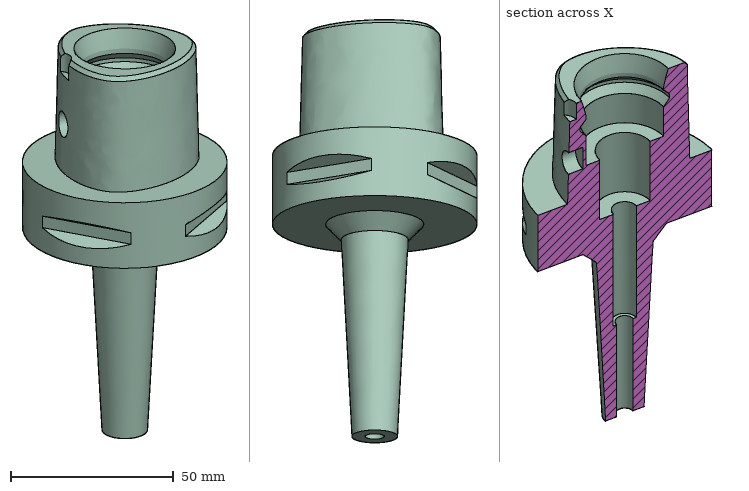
import cadquery as cq
import math

total_height = 128.0
shank_height = 38.0
flange_height = 22.0
neck_height = 5.0
flange_radius = 31.5
stem_height = total_height - shank_height - flange_height - neck_height

shank_mean_radius = 22.1
lobe_count = 3
lobe_height = 1.4
section_points = 72
shank_taper = 1 / 40
rim_chamfer_height = 1.3
rim_chamfer_width = 1.2

stem_tip_radius = 7.0
stem_half_angle = 3.0
neck_top_radius = 15.1
stem_top_radius = stem_tip_radius + stem_height * math.tan(math.radians(stem_half_angle))

socket_mouth_radius = 15.6
socket_radius = 14.0
mouth_cone_depth = 6.3
groove_radius = 16.1
groove_top_depth = 7.8
groove_wall_top_depth = 10.2
groove_wall_bottom_depth = 11.5
groove_bottom_depth = 14.2
socket_depth = 25.6

thread_bore_radius = 9.1
thread_bore_depth = 48.6
relief_bore_radius = 4.1
tool_bore_radius = 3.0
tool_bore_length = 36.0

key_slot_radius = 4.2
key_slot_floor_depth = 6.3
key_slot_inset = 2.2
side_hole_radius = 4.1
side_hole_drop = 22.4
side_hole_depth = 5.1

notch_count = 4
notch_flat_distance = 27.6
notch_flat_height = 3.8
notch_side_angle = 30.0
notch_drop = 12.0
notch_margin = 1.3

flange_bottom = -flange_height
neck_bottom = flange_bottom - neck_height
tip = neck_bottom - stem_height


def lobed_point(angle, mean_radius):
    """Point on the curve of constant width 2 * mean_radius, with one lobe towards +Y."""
    phase = lobe_count * (angle - math.pi / 2)
    support = mean_radius + lobe_height * math.cos(phase)
    slope = -lobe_count * lobe_height * math.sin(phase)
    x = support * math.cos(angle) - slope * math.sin(angle)
    y = support * math.sin(angle) + slope * math.cos(angle)
    return (x, y)


def lobed_section(z, mean_radius):
    """Closed lobed outline at height z."""
    points = []
    for index in range(section_points):
        angle = 2 * math.pi * index / section_points - math.pi / 2
        x, y = lobed_point(angle, mean_radius)
        points.append(cq.Vector(x, y, z))
    return cq.Wire.assembleEdges([cq.Edge.makeSpline(points, periodic=True)])


def lobed_frustum(bottom_z, bottom_radius, height, top_radius):
    """Tapered solid between two lobed outlines."""
    lower = lobed_section(bottom_z, bottom_radius)
    upper = lobed_section(bottom_z + height, top_radius)
    return cq.Workplane(cq.Solid.makeLoft([lower, upper], True))


def make_shank():
    taper_height = shank_height - rim_chamfer_height
    taper_top_radius = shank_mean_radius - taper_height * shank_taper
    taper = lobed_frustum(0, shank_mean_radius, taper_height, taper_top_radius)
    rim = lobed_frustum(
        taper_height, taper_top_radius, rim_chamfer_height, taper_top_radius - rim_chamfer_width
    )
    return taper.union(rim)


def revolve_profile(points):
    """Turn (radius, z) points around the Z axis."""
    return cq.Workplane("XZ").polyline(points).close().revolve(360, (0, 0, 0), (0, 1, 0))


def make_flange_and_stem():
    return revolve_profile([
        (0, 0),
        (flange_radius, 0),
        (flange_radius, flange_bottom),
        (neck_top_radius, flange_bottom),
        (stem_top_radius, neck_bottom),
        (stem_tip_radius, tip),
        (0, tip),
    ])


def make_bore():
    socket_floor = shank_height - socket_depth
    thread_bore_floor = shank_height - thread_bore_depth
    tool_bore_top = tip + tool_bore_length
    return revolve_profile([
        (0, shank_height),
        (socket_mouth_radius, shank_height),
        (socket_radius, shank_height - mouth_cone_depth),
        (socket_radius, shank_height - groove_top_depth),
        (groove_radius, shank_height - groove_wall_top_depth),
        (groove_radius, shank_height - groove_wall_bottom_depth),
        (socket_radius, shank_height - groove_bottom_depth),
        (socket_radius, socket_floor),
        (thread_bore_radius, socket_floor),
        (thread_bore_radius, thread_bore_floor),
        (relief_bore_radius, thread_bore_floor),
        (relief_bore_radius, tool_bore_top),
        (tool_bore_radius, tool_bore_top),
        (tool_bore_radius, tip),
        (0, tip),
    ])


def shank_front_y(z):
    """Y of the tapered shank surface on the -Y side at height z."""
    return -(shank_mean_radius - z * shank_taper - lobe_height)


def make_key_slot():
    """Vertical round-backed slot open at the rim."""
    floor_z = shank_height - key_slot_floor_depth
    centre_y = shank_front_y(shank_height) + key_slot_inset - key_slot_radius
    slot = cq.Workplane("XY", origin=(0, centre_y, floor_z))
    return slot.circle(key_slot_radius).extrude(key_slot_floor_depth)


def make_side_hole():
    """Blind radial hole entering from the -Y side."""
    centre_z = shank_height - side_hole_drop
    floor_y = shank_front_y(centre_z) + side_hole_depth
    hole = cq.Workplane("XZ", origin=(0, floor_y, centre_z))
    return hole.circle(side_hole_radius).extrude(2 * side_hole_depth)


def make_notch():
    """Straight V-sided notch with a flat floor, cutting the +X side of the flange."""
    outer = flange_radius + notch_margin
    half_floor = notch_flat_height / 2
    rise = (outer - notch_flat_distance) * math.tan(math.radians(notch_side_angle))
    half_mouth = half_floor + rise
    return (
        cq.Workplane("XZ", origin=(0, 0, -notch_drop))
        .polyline([
            (notch_flat_distance, -half_floor),
            (outer, -half_mouth),
            (outer, half_mouth),
            (notch_flat_distance, half_floor),
        ])
        .close()
        .extrude(flange_radius, both=True)
    )


result = make_flange_and_stem().union(make_shank())
result = result.cut(make_bore()).cut(make_key_slot()).cut(make_side_hole())
for index in range(notch_count):
    notch_angle = (index + 0.5) * 360 / notch_count
    result = result.cut(make_notch().rotate((0, 0, 0), (0, 0, 1), notch_angle))